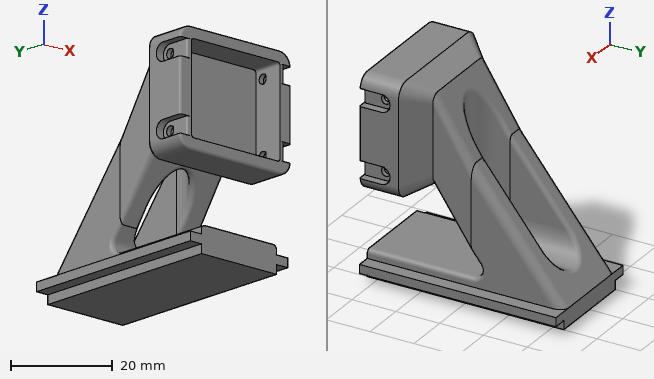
import cadquery as cq

rail_length = 44.9
rail_width = 20.0
rail_top = 6.0
flange_width = 26.0
flange_bottom = 2.0
flange_thickness = 2.0
flange_top = flange_bottom + flange_thickness

arm_joint_y = 23.75
wedge_joint_top = 30.7
wedge_joint_bottom = 11.65
wedge_top_radius = 2.0
rail_edge_radius = 1.0
inner_corner_radius = 2.0
wedge_slope = (wedge_joint_top - flange_top) / (rail_length - arm_joint_y)
inner_corner_y = arm_joint_y + (wedge_joint_bottom - rail_top) / wedge_slope

housing_width = 29.5
housing_height = 25.5
housing_top = 46.85
housing_front_y = 1.0
housing_depth = 9.0
housing_corner_radius = 3.0
housing_rim_radius = 0.5
housing_back_y = housing_front_y + housing_depth
housing_mid_z = housing_top - housing_height / 2
pad_side = rail_width
pad_corner_radius = 2.0
taper_length = 5.0
pad_y = housing_back_y + taper_length

pocket_width = 23.5
pocket_height = 20.47
pocket_depth = 7.0
pocket_corner_radius = 0.6

recess_width = 4.0
recess_depth = 1.87
recess_spacing = 15.98
screw_diameter = 2.05
screw_y = 6.0

window_width = 10.0
window_floor = 8.0
window_front_y = 17.0
window_edge_radius = 1.0
window_radius = window_width / 2

middle_band = 0.05


def rounded_rectangle(width, height, radius):
    return cq.Sketch().rect(width, height).vertices().fillet(radius)


def housing_plane(y):
    """Workplane on the housing axis at the given Y, extruding towards the back."""
    return cq.Workplane(cq.Plane(origin=(0, y, housing_mid_z), xDir=(-1, 0, 0), normal=(0, 1, 0)))


def window_cutter():
    """Half-round floor running along Y, met by a half-round front running along Z."""
    floor_centre_z = window_floor + window_radius
    front_centre_y = window_front_y + window_radius
    level_channel = (
        cq.Workplane("XZ")
        .moveTo(-window_radius, housing_top)
        .lineTo(-window_radius, floor_centre_z)
        .threePointArc((0, window_floor), (window_radius, floor_centre_z))
        .lineTo(window_radius, housing_top)
        .close()
        .extrude(-rail_length)
    )
    upright_channel = (
        cq.Workplane("XY")
        .moveTo(-window_radius, rail_length)
        .lineTo(-window_radius, front_centre_y)
        .threePointArc((0, window_front_y), (window_radius, front_centre_y))
        .lineTo(window_radius, rail_length)
        .close()
        .extrude(housing_top)
    )
    return level_channel.intersect(upright_channel)


def cut_window(body):
    """Cut the window through a body and round its two rims.

    Each rim is picked by its end arc, the edge centred on X = 0 that is not straight across,
    and the rounding follows the tangent edges from there to the arm joint.
    """
    opened = body.cut(window_cutter())
    near_middle = cq.selectors.BoxSelector(
        (-middle_band, 0, 0),
        (middle_band, rail_length, housing_top),
    )
    rim_ends = opened.edges(near_middle).edges("not |X").vals()
    lower_rim_first = sorted(rim_ends, key=lambda edge: edge.Center().z)
    return cq.Workplane(opened.val().fillet(window_edge_radius, lower_rim_first))


def wedge_blank():
    """Rail core and wedge with their long edges rounded, before the window is cut."""
    blank = (
        cq.Workplane("YZ")
        .polyline([
            (0, 0),
            (rail_length, 0),
            (rail_length, flange_top),
            (arm_joint_y, wedge_joint_top),
            (arm_joint_y, wedge_joint_bottom),
            (inner_corner_y, rail_top),
            (0, rail_top),
        ])
        .close()
        .extrude(rail_width / 2, both=True)
    )
    inner_corner = cq.selectors.NearestToPointSelector((0, inner_corner_y, rail_top))
    blank = blank.edges(inner_corner).fillet(inner_corner_radius)
    half_width = rail_width / 2
    top_y = (rail_length + arm_joint_y) / 2
    top_z = (flange_top + wedge_joint_top) / 2
    for x in (-half_width, half_width):
        top_edge = cq.selectors.NearestToPointSelector((x, top_y, top_z))
        blank = blank.edges(top_edge).fillet(wedge_top_radius)
        floor_edge = cq.selectors.NearestToPointSelector((x, arm_joint_y / 2, rail_top))
        blank = blank.edges(floor_edge).fillet(rail_edge_radius)
    return blank


def make_base(blank):
    """Wedge with its window, standing on the square-edged rail and its flanges."""
    centred_on_x = (True, False, False)
    core = cq.Workplane("XY").box(rail_width, rail_length, flange_top, centered=centred_on_x)
    flanges = (
        cq.Workplane("XY")
        .workplane(offset=flange_bottom)
        .box(flange_width, rail_length, flange_thickness, centered=centred_on_x)
    )
    return cut_window(blank).union(core).union(flanges)


def make_arm(blank, housing_body):
    """Straight-sided loft from the end of the wedge to the pad on the housing."""
    joint_centre_z = (wedge_joint_bottom + wedge_joint_top) / 2
    joint_centre = cq.selectors.NearestToPointSelector((0, arm_joint_y, joint_centre_z))
    joint_outline = blank.faces(joint_centre).wires().val()
    pad_outline = housing_body.faces(">Y").wires().val()
    loft = cq.Solid.makeLoft([joint_outline, pad_outline], True)
    return cut_window(cq.Workplane(loft))


def cut_screw_recess(body, side, z):
    """Slot open to the front, with a rounded floor edge and a screw hole, in one side wall."""
    floor_x = housing_width / 2 - recess_depth
    half = recess_width / 2
    recess = (
        cq.Workplane("YZ", origin=(side * floor_x, 0, z))
        .moveTo(0, -half)
        .lineTo(screw_y, -half)
        .threePointArc((screw_y + half, 0), (screw_y, half))
        .lineTo(0, half)
        .close()
        .extrude(side * housing_width)
    )
    hole = (
        cq.Workplane("YZ", origin=(0, screw_y, z))
        .circle(screw_diameter / 2)
        .extrude(side * housing_width)
    )
    body = body.cut(recess)
    floor_edge = cq.selectors.NearestToPointSelector((side * floor_x, housing_front_y, z))
    return body.edges(floor_edge).fillet(housing_rim_radius).cut(hole)


def make_housing():
    """Rounded box with a front pocket, side screw recesses and a taper down to the arm pad."""
    shell_outline = rounded_rectangle(housing_width, housing_height, housing_corner_radius)
    pad_outline = rounded_rectangle(pad_side, pad_side, pad_corner_radius)
    pocket_outline = rounded_rectangle(pocket_width, pocket_height, pocket_corner_radius)
    box = housing_plane(housing_front_y).placeSketch(shell_outline).extrude(housing_depth)
    box = box.faces("<Y").edges().fillet(housing_rim_radius)
    raised_pad = pad_outline.moved(cq.Location(cq.Vector(0, 0, taper_length)))
    taper = housing_plane(housing_back_y).placeSketch(shell_outline, raised_pad).loft(ruled=True)
    pocket = housing_plane(housing_front_y).placeSketch(pocket_outline).extrude(pocket_depth)
    body = box.union(taper)
    for side in (-1, 1):
        for offset in (-recess_spacing / 2, recess_spacing / 2):
            body = cut_screw_recess(body, side, housing_mid_z + offset)
    return body.cut(pocket)


wedge = wedge_blank()
base = make_base(wedge)
housing = make_housing()
arm = make_arm(wedge, housing)

result = cq.Compound.makeCompound([base.solids().val(), arm.solids().val(), housing.solids().val()])